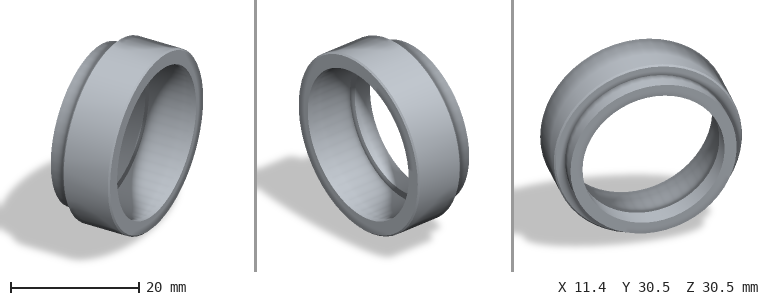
import cadquery as cq

total_length = 11.43
body_diameter = 30.48
hub_diameter = 26.9
hub_length = 3.05
edge_chamfer = 0.254
lip_bore_diameter = 23.0
lip_length = hub_length
main_bore_diameter = 25.4


def make_cylinder(diameter, start, end):
    """Solid cylinder on the X axis between two X positions."""
    return cq.Workplane("YZ", origin=(start, 0, 0)).circle(diameter / 2).extrude(end - start)


body = make_cylinder(body_diameter, hub_length, total_length).edges("%CIRCLE").chamfer(edge_chamfer)

hub = make_cylinder(hub_diameter, 0, hub_length)

lip_bore = make_cylinder(lip_bore_diameter, 0, lip_length)
main_bore = make_cylinder(main_bore_diameter, lip_length, total_length)

result = body.union(hub).cut(lip_bore).cut(main_bore)